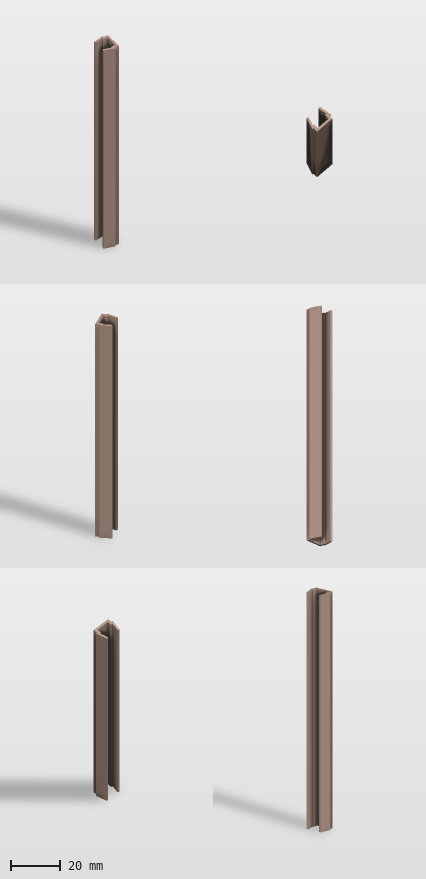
import cadquery as cq

length = 100.0
width = 9.5
depth = 7.0

channel_width = 8.2
web_thickness = 1.0
wall_thickness = 1.2
wall_end_depth = 3.1

shoulder_depth = 2.0
tip_outer_x = 3.5
leg_thickness = 0.9

shoulder_x = width / 2
leg_run = shoulder_x - tip_outer_x
leg_drop = depth - shoulder_depth
leg_length = (leg_run**2 + leg_drop**2) ** 0.5
lean_x = leg_run / leg_length
lean_y = leg_drop / leg_length

tip_inner_x = tip_outer_x - leg_thickness * lean_y
tip_inner_y = -depth + leg_thickness * lean_x

leg_root_x = tip_inner_x + (tip_inner_y + wall_end_depth) * -lean_x / lean_y

outer_x = channel_width / 2
inner_x = outer_x - wall_thickness

half_profile = [
    (0, 0),
    (outer_x, 0),
    (outer_x, -shoulder_depth),
    (shoulder_x, -shoulder_depth),
    (tip_outer_x, -depth),
    (tip_inner_x, tip_inner_y),
    (leg_root_x, -wall_end_depth),
    (inner_x, -wall_end_depth),
    (inner_x, -web_thickness),
    (0, -web_thickness),
]
half = cq.Workplane("XY").polyline(half_profile).close().extrude(length)

result = half.union(half.mirror("YZ")).clean()